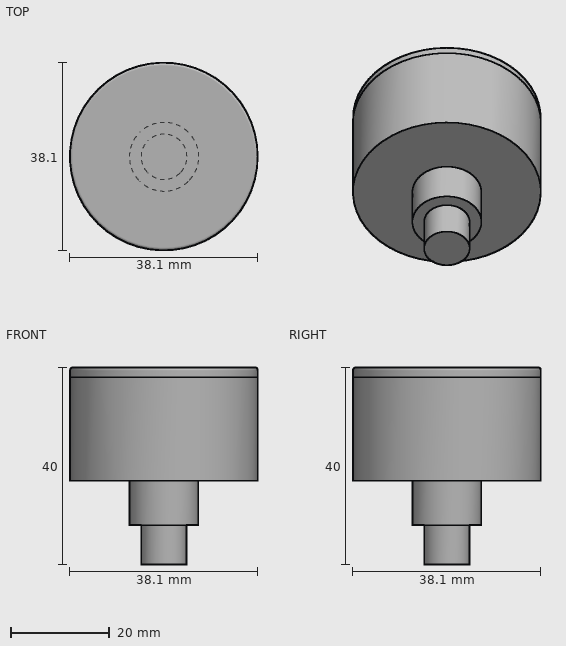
import cadquery as cq

tip_diameter = 9.23
tip_length = 8.0
neck_diameter = 14.0
neck_length = 9.0
head_diameter = 38.1
head_length = 23.0

cap_thickness = 2.0
cap_edge_radius = 0.6

neck_bottom = tip_length
head_bottom = neck_bottom + neck_length
cap_bottom = head_bottom + head_length - cap_thickness


def cylinder(diameter, length, bottom):
    """Solid cylinder on the Z axis, standing on the height `bottom`."""
    return cq.Workplane("XY").workplane(offset=bottom).circle(diameter / 2).extrude(length)


def make_plunger():
    """Stepped body that widens upward from the tip to the head."""
    tip = cylinder(tip_diameter, tip_length, 0)
    neck = cylinder(neck_diameter, neck_length, neck_bottom)
    head = cylinder(head_diameter, cap_bottom - head_bottom, head_bottom)
    return tip.union(neck).union(head)


def make_cap():
    """Flat disc with a rounded upper rim."""
    disc = cylinder(head_diameter, cap_thickness, cap_bottom)
    return disc.faces(">Z").edges().fillet(cap_edge_radius)


plunger = make_plunger()
cap = make_cap()

result = cq.Compound.makeCompound([plunger.val(), cap.val()])